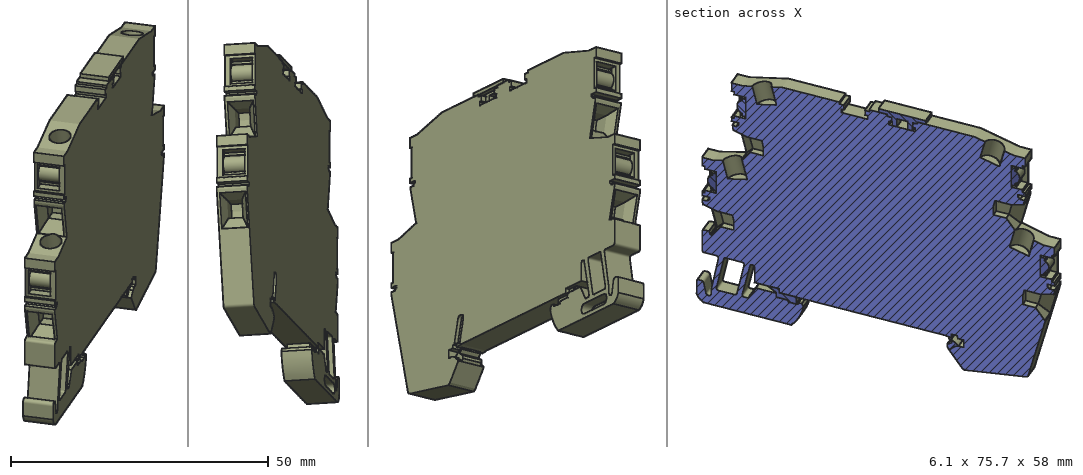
import cadquery as cq
import math


thickness = 6.1
face_x = -thickness / 2
slope = 1 / 4
slope_angle = math.atan(slope)

upper_half_width = 31.05
upper_shoulder_z = 55.13
tier_step_out = 6.2
tier_step_down = 19.85
lower_half_width = upper_half_width + tier_step_out
lower_shoulder_z = upper_shoulder_z - tier_step_down
top_z = 57.2
shoulder_flat = 2.45
shoulder_run = (top_z - upper_shoulder_z) / slope

upper_lip_drop = 2.1
recess_inset = 0.55
lower_lip_top_drop = 8.4
lower_lip_drop = 9.35
slit_bottom_drop = 10.25
slit_inset = 1.55
slit_round = 0.5
flank_inset = 0.2
flank_land = 0.5
tier_flank_height = 7.5

block_notch = (-35.5, 17.95)
block_top = 17.75
block_y = -lower_half_width
block_z = 12.27
block_round = 0.5
underside_z = 7.2
step_z = 8.14
claw_heel = (31.6, 2.25)
claw_heel_round = 0.8
claw_tip = (18.2, 0)

foot_end_y = -38.45
foot_bottom = 0.16
foot_top = 7.02
hook_top = 5.45
strut_bottom = 4.1
strut_root_round = 0.38

marker_y = 5.05
pocket_depth = 2.4
pocket_shoulder_half = 3.15
pocket_shoulder_depth = 0.45
pocket_neck_half = 2.2
pocket_neck_depth = 1.65
pocket_undercut_half = 2.75
tag_length = 9.95
tag_width = 5.8
tag_top_z = 58.04
tag_leg_inner_half = 1.1
tag_web_depth = 0.6
snap_width = 3.8

hole_diameter = 4.2
hole_depth = 4.2
hole_x = 0.35
hole_y = 24.6
window_x = (-2.47, 2.0)
window_top_drop = 2.75
window_height = 5.05
window_depth = 2.4
clamp_gap = 0.35
clamp_front = 1.1
clamp_ledge = 0.5
bulge_half_height = 1.67
bulge_rise = 1.2
funnel_mouth_x = (-2.67, 2.47)
funnel_mouth_z = (36.95, 43.7)
funnel_throat_x = (-1.27, 1.69)
funnel_throat_z = (39.5, 42.9)
funnel_depth = 2.5
funnel_lead = 0.3
throat_depth = 2.7
throat_ramp_z = 41.5
throat_ramp_run = 0.3

stress_slot_depth = 0.8
stress_slot_width = 1.85
stress_slot_end = (14.13, 12.42)
stress_slot_mouth = (15.3, 7.8)
grip_depth = 2.5
grip_length = 8.4
grip_width = 2.1
grip_center = (-30.37, 2.1)

contact_width = 4.5


def extrude_profile(profile, width=thickness):
    """Prism of a Y-Z profile, centred on X = 0."""
    return profile.extrude(width / 2, both=True)


def plate(points, width=thickness):
    return extrude_profile(cq.Workplane("YZ").polyline(points).close(), width)


def box(x_range, y_range, z_range):
    size = [r[1] - r[0] for r in (x_range, y_range, z_range)]
    return cq.Workplane("XY").box(*size, centered=False).translate((x_range[0], y_range[0], z_range[0]))


def both_sides(body):
    """The body and its mirror image across the Y = 0 plane."""
    return [body, body.mirror("XZ")]


def tier_edge(half_width, shoulder_z):
    """Points down the +Y end of one tier, from its shoulder to the underside of its slit."""
    lip_z = shoulder_z - lower_lip_drop
    return [
        (half_width - shoulder_flat, shoulder_z),
        (half_width, shoulder_z),
        (half_width, shoulder_z - upper_lip_drop),
        (half_width - recess_inset, shoulder_z - upper_lip_drop),
        (half_width - recess_inset, shoulder_z - lower_lip_top_drop),
        (half_width, shoulder_z - lower_lip_top_drop),
        (half_width, lip_z),
        (half_width - slit_inset, lip_z),
        (half_width - slit_inset, shoulder_z - slit_bottom_drop + slit_round),
        (half_width - slit_inset + slit_round, shoulder_z - slit_bottom_drop),
    ]


upper_flank_top = (upper_half_width - flank_inset, upper_shoulder_z - slit_bottom_drop)
upper_flank_foot = (
    upper_flank_top[0] - slope * tier_flank_height,
    upper_flank_top[1] - flank_land - tier_flank_height,
)
plateau_end = upper_half_width - shoulder_flat - shoulder_run
lower_slit_bottom = lower_shoulder_z - slit_bottom_drop

upper_end = [
    (plateau_end, top_z),
    *tier_edge(upper_half_width, upper_shoulder_z),
    upper_flank_top,
    (upper_flank_top[0], upper_flank_top[1] - flank_land),
    upper_flank_foot,
    *tier_edge(lower_half_width, lower_shoulder_z),
    (lower_half_width, lower_slit_bottom),
    (lower_half_width, lower_slit_bottom - flank_land),
]


def mirrored(points):
    return [(-y, z) for y, z in reversed(points)]


claw = [
    claw_heel,
    claw_tip,
    (17.65, 0.4),
    (14.85, 4.06),
    (16.06, 5.2),
    (16.97, 5.56),
    (18.02, 5.56),
    (18.02, underside_z),
    (16.74, underside_z),
    (16.63, 7.87),
    (15.42, 7.87),
    (15.42, 7.05),
    (14.92, 7.05),
    (14.0, underside_z),
]
foot_seam_y = -20.99
foot_neck_y = -26.2
foot_side_end = [
    (foot_seam_y, underside_z),
    (foot_seam_y, step_z),
    (foot_neck_y, step_z),
    (foot_neck_y, block_z),
    (block_y, block_z),
    (block_y, block_top),
    block_notch,
]


def edges_near(body, points):
    """Edges parallel to X that pass through the given Y-Z points."""
    picked = cq.Workplane(body.val())
    tolerance = 0.01
    found = []
    for y, z in points:
        corner = cq.selectors.BoxSelector(
            (-thickness, y - tolerance, z - tolerance), (thickness, y + tolerance, z + tolerance)
        )
        found += picked.edges("|X").edges(corner).vals()
    return body.newObject(found)


def housing_block():
    block = plate(upper_end + claw + foot_side_end + mirrored(upper_end))
    block = edges_near(block, [claw_heel]).fillet(claw_heel_round)
    block_corners = [(block_y, block_top), (block_y, block_z)]
    return edges_near(block, block_corners).fillet(block_round)


def leaning_strut(top, bottom):
    """Bar between the end block and the foot, from its end positions in Y."""
    return plate([
        (top[0], block_z),
        (top[1], block_z),
        (bottom[1], strut_bottom),
        (bottom[0], strut_bottom),
    ])


def spring_foot():
    hook_inner_y = -36.93
    hook_round = 0.65
    outline = (
        cq.Workplane("YZ")
        .moveTo(-35.3, strut_bottom)
        .lineTo(-35.36, 2.8)
        .threePointArc((-35.85, 2.26), (-36.4, 2.75))
        .lineTo(hook_inner_y, hook_top)
        .lineTo(foot_end_y, hook_top)
        .lineTo(foot_end_y, 2.0)
        .threePointArc((-37.95, 1.0), (-36.84, foot_bottom))
        .lineTo(-18.37, foot_bottom)
        .threePointArc((-16.7, 2.6), (-15.77, 5.43))
        .lineTo(-16.16, 6.11)
        .lineTo(-16.91, 6.11)
        .lineTo(-17.0, 5.65)
        .lineTo(-18.83, 5.65)
        .lineTo(-19.17, 6.09)
        .lineTo(-21.52, 6.09)
        .lineTo(-21.52, foot_top)
        .lineTo(-25.83, foot_top)
        .lineTo(-27.49, strut_bottom)
        .close()
    )
    foot = extrude_profile(outline)
    hook_corners = [(hook_inner_y, hook_top), (foot_end_y, hook_top)]
    return edges_near(foot, hook_corners).fillet(hook_round)


inner_top = (-27.0, -28.3)
inner_bottom = (-28.8, -30.0)
outer_top = (-32.55, -33.75)
outer_bottom = (-34.25, -35.3)
strut_roots = [(y, block_z) for y in (foot_neck_y, *inner_top, *outer_top)]
strut_roots += [(y, strut_bottom) for y in (*inner_bottom, outer_bottom[0])]


def marker_pocket_profile():
    """Stepped, undercut half-section mirrored about its own centre line, top edge at Z = 0."""
    half = [
        (pocket_shoulder_half, 0),
        (pocket_shoulder_half, -pocket_shoulder_depth),
        (pocket_neck_half, -pocket_shoulder_depth),
        (pocket_neck_half, -pocket_neck_depth),
        (pocket_undercut_half, -pocket_neck_depth),
        (pocket_undercut_half, -pocket_depth),
    ]
    return half + mirrored(half)


def marker_pocket(center_y):
    return plate(marker_pocket_profile()).translate((0, center_y, top_z))


def screwdriver_hole():
    """Blind round hole square to the upper +Y shoulder slope."""
    center_z = top_z - slope * (hole_y - plateau_end)
    surface = cq.Plane(
        origin=(hole_x, hole_y, center_z), xDir=(1, 0, 0), normal=(0, slope, 1)
    )
    return cq.Workplane(surface).circle(hole_diameter / 2).extrude(hole_depth, both=True)


window_top_z = upper_shoulder_z - window_top_drop
window_floor_y = upper_half_width - recess_inset - window_depth
clamp_axis_z = window_top_z - window_height / 2


def clamp_window():
    return box(
        window_x,
        (window_floor_y, upper_half_width),
        (window_top_z - window_height, window_top_z),
    )


def clamp_piece():
    """Block on the floor of a window, with a rounded bulge set into its front."""
    block_half = window_height / 2 - clamp_gap
    front_y = window_floor_y + clamp_front
    ledge_y = front_y - clamp_ledge
    bottom_z = clamp_axis_z - block_half
    block_top_z = clamp_axis_z + block_half
    bulge_bottom = clamp_axis_z - bulge_half_height
    bulge_top = clamp_axis_z + bulge_half_height
    return (
        cq.Workplane("YZ", origin=(window_x[0], 0, 0))
        .moveTo(window_floor_y, bottom_z)
        .lineTo(front_y, bottom_z)
        .lineTo(front_y, bulge_bottom)
        .lineTo(ledge_y, bulge_bottom)
        .threePointArc((ledge_y + bulge_rise, clamp_axis_z), (ledge_y, bulge_top))
        .lineTo(front_y, bulge_top)
        .lineTo(front_y, block_top_z)
        .lineTo(window_floor_y, block_top_z)
        .close()
        .extrude(window_x[1] - window_x[0])
    )


def wire_funnel():
    """Tapered wire entry in the inclined flank, with a rectangular throat behind it."""
    inward_y = -math.cos(slope_angle)
    inward_z = math.sin(slope_angle)

    def opening_y(z, depth):
        """Y of the plane that lies at a depth behind the flank, at height z."""
        rise = z - depth * inward_z - upper_flank_foot[1]
        return upper_flank_foot[0] + slope * rise + depth * inward_y

    def rectangle(x_range, z_range, depth):
        """Closed wire parallel to the flank, its corners at the given X and Z."""
        corners = []
        for x, z in [(0, 0), (1, 0), (1, 1), (0, 1)]:
            corners.append(cq.Vector(x_range[x], opening_y(z_range[z], depth), z_range[z]))
        return cq.Wire.makePolygon(corners, close=True)

    lead = cq.Solid.makeLoft(
        [
            rectangle(funnel_mouth_x, funnel_mouth_z, -funnel_lead),
            rectangle(funnel_mouth_x, funnel_mouth_z, 0),
        ],
        True,
    )
    taper = cq.Solid.makeLoft(
        [
            rectangle(funnel_mouth_x, funnel_mouth_z, 0),
            rectangle(funnel_throat_x, funnel_throat_z, funnel_depth),
        ],
        True,
    )
    lower_mouth_y = opening_y(funnel_throat_z[0], funnel_depth)
    upper_mouth_y = opening_y(funnel_throat_z[1], funnel_depth)
    throat_end_y = lower_mouth_y - throat_depth
    throat = (
        cq.Workplane("YZ", origin=(funnel_throat_x[0], 0, 0))
        .polyline([
            (lower_mouth_y, funnel_throat_z[0]),
            (upper_mouth_y, funnel_throat_z[1]),
            (throat_end_y + throat_ramp_run, funnel_throat_z[1]),
            (throat_end_y, throat_ramp_z),
            (throat_end_y, funnel_throat_z[0]),
        ])
        .close()
        .extrude(funnel_throat_x[1] - funnel_throat_x[0])
    )
    return throat.union(cq.Workplane(taper)).union(cq.Workplane(lead))


def at_each_terminal(feature):
    """Four copies of an upper +Y feature: two tiers, two ends."""
    copies = []
    for tier in range(2):
        copies += both_sides(feature.translate((0, tier * tier_step_out, -tier * tier_step_down)))
    return copies


def side_recesses():
    """Shallow reliefs in the -X face: the slot above the claw and the grip in the foot."""
    side = cq.Workplane("YZ", origin=(face_x, 0, 0))
    grip = side.center(*grip_center).slot2D(grip_length, grip_width).extrude(grip_depth)
    dy = stress_slot_end[0] - stress_slot_mouth[0]
    dz = stress_slot_end[1] - stress_slot_mouth[1]
    run = math.hypot(dy, dz)
    slot = (
        cq.Workplane("YZ")
        .rect(stress_slot_width, run)
        .extrude(stress_slot_depth)
        .translate((0, 0, run / 2))
        .union(cq.Workplane("YZ").center(0, run).circle(stress_slot_width / 2).extrude(stress_slot_depth))
        .rotate((0, 0, 0), (1, 0, 0), math.degrees(math.atan2(-dy, dz)))
        .translate((face_x, stress_slot_mouth[0], stress_slot_mouth[1]))
    )
    return [grip, slot]


housing = housing_block().union(spring_foot())
housing = housing.union(leaning_strut(inner_top, inner_bottom)).union(leaning_strut(outer_top, outer_bottom))
housing = edges_near(housing, strut_roots).fillet(strut_root_round)
for pocket_y in (marker_y, -marker_y):
    housing = housing.cut(marker_pocket(pocket_y))
clamps = at_each_terminal(clamp_piece())
for feature in (screwdriver_hole(), clamp_window(), wire_funnel()):
    for opening in at_each_terminal(feature):
        housing = housing.cut(opening)
for recess in side_recesses():
    housing = housing.cut(recess)


def marker_tag():
    """Cover plate with a web and two legs that snap into a marker pocket."""
    tag_plate = plate(
        [(-tag_length / 2, 0), (tag_length / 2, 0),
         (tag_length / 2, tag_top_z - top_z), (-tag_length / 2, tag_top_z - top_z)],
        tag_width,
    )
    half = [
        (pocket_shoulder_half, 0),
        (pocket_shoulder_half, -pocket_shoulder_depth),
        (pocket_neck_half, -pocket_shoulder_depth),
        (pocket_neck_half, -pocket_depth),
        (tag_leg_inner_half, -pocket_depth),
        (tag_leg_inner_half, -tag_web_depth),
    ]
    snap = plate(half + mirrored(half), snap_width)
    return tag_plate.union(snap).translate((0, marker_y, top_z))


claw_contact = plate(
    [
        (15.42, 7.05),
        (15.42, 6.68),
        (16.51, 6.0),
        (16.97, 5.56),
        (16.06, 5.2),
        (14.85, 4.06),
        (14.51, 4.63),
        (14.51, 5.24),
        (15.49, 5.93),
        (14.92, 6.68),
        (14.92, 7.05),
    ],
    contact_width,
)
foot_contact = plate(
    [
        (-17.34, underside_z),
        (-17.34, 5.65),
        (-18.83, 5.65),
        (-19.17, 6.09),
        (-21.52, 6.09),
        (-21.52, foot_top),
        (-23.39, step_z),
        (foot_seam_y, step_z),
        (foot_seam_y, underside_z),
    ],
    contact_width,
)

bodies = [housing, marker_tag(), *clamps, claw_contact, foot_contact]
result = cq.Compound.makeCompound([body.val() for body in bodies])